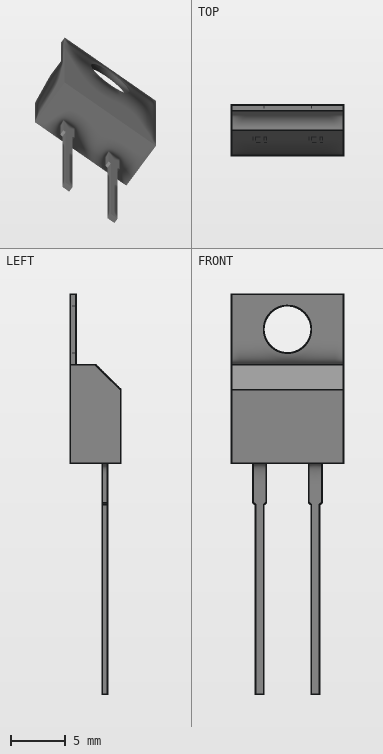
import cadquery as cq

width = 10.3
depth = 4.65
total_height = 36.72

tab_height = 6.45
tab_thickness = 0.55
hole_diameter = 4.35
hole_below_top = 3.23

housing_height = 9.07
slope_height = 2.3
slope_depth = 2.35

lead_pitch = 5.1
lead_thickness = 0.5
lead_center_from_front = 1.47
wide_lead_width = 1.25
narrow_lead_width = 0.77
wide_lead_length = 3.6
shoulder_height = 0.2

front_y = -depth / 2
back_y = depth / 2
tab_top_z = housing_height + tab_height
lead_length = total_height - tab_top_z


def make_housing():
    """Block with a sloped front upper edge, extruded along X."""
    profile = [
        (front_y, 0),
        (back_y, 0),
        (back_y, housing_height),
        (front_y + slope_depth, housing_height),
        (front_y, housing_height - slope_height),
    ]
    return cq.Workplane("YZ").polyline(profile).close().extrude(width / 2, both=True)


def make_tab():
    """Flat plate standing on the back of the housing top, with a through hole."""
    plate = (
        cq.Workplane("XY", origin=(0, back_y - tab_thickness / 2, housing_height))
        .rect(width, tab_thickness)
        .extrude(tab_height)
    )
    hole = (
        cq.Workplane("XZ", origin=(0, back_y, tab_top_z - hole_below_top))
        .circle(hole_diameter / 2)
        .extrude(tab_thickness)
    )
    return plate.cut(hole)


def make_lead(center_x):
    """Flat lead hanging from the housing underside."""
    wide_half = wide_lead_width / 2
    narrow_half = narrow_lead_width / 2
    shoulder_top_z = -wide_lead_length
    shoulder_bottom_z = shoulder_top_z - shoulder_height
    profile = [
        (-wide_half, 0),
        (wide_half, 0),
        (wide_half, shoulder_top_z),
        (narrow_half, shoulder_bottom_z),
        (narrow_half, -lead_length),
        (-narrow_half, -lead_length),
        (-narrow_half, shoulder_bottom_z),
        (-wide_half, shoulder_top_z),
    ]
    return (
        cq.Workplane("XZ", origin=(center_x, front_y + lead_center_from_front, 0))
        .polyline(profile)
        .close()
        .extrude(lead_thickness / 2, both=True)
    )


housing = make_housing()
tab = make_tab()
leads = []
for side in (-1, 1):
    leads.append(make_lead(side * lead_pitch / 2))

result = cq.Compound.makeCompound([housing.val(), tab.val(), *[lead.val() for lead in leads]])